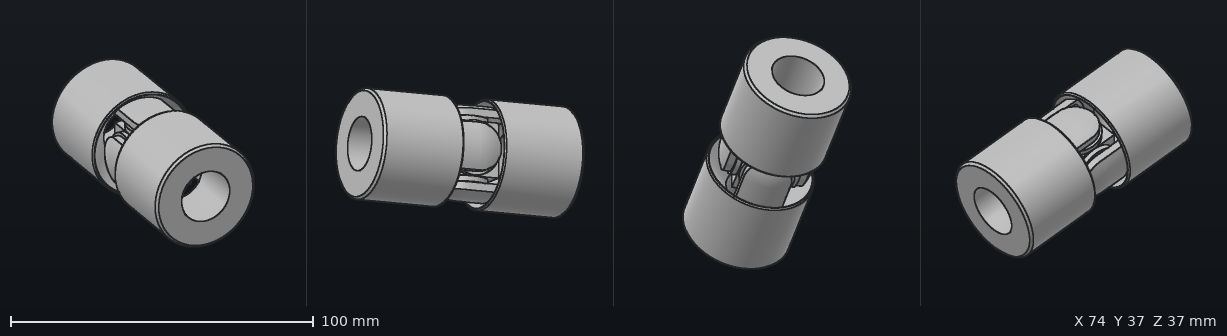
import cadquery as cq


joint_length = 74.0
hub_diameter = 37.0
bore_diameter = 18.0
hub_gap = 15.0
outer_chamfer = 0.9
inner_chamfer = 0.5
rim_width = 0.2
cup_depth = 10.15
arm_width = 16.05
arm_outer_radius = 16.0
arm_tip_offset = 0.6

block_length = 19.25
block_size = 18.5
boss_height = 1.85

hub_radius = hub_diameter / 2
hub_end = joint_length / 2
hub_start = hub_gap / 2
cup_mouth_radius = hub_radius - inner_chamfer - rim_width
cup_bottom = hub_start + cup_depth
arm_inner_height = block_size / 2 + boss_height
arm_root = (hub_start + hub_end) / 2


def x_cylinder(radius, start, end):
    """Solid cylinder on the X axis."""
    return cq.Workplane("YZ").workplane(offset=start).circle(radius).extrude(end - start)


def make_hub():
    """Hub on the -X side with a conical cup facing the joint centre."""
    hub = x_cylinder(hub_radius, -hub_end, -hub_start)
    hub = hub.faces("<X").chamfer(outer_chamfer)
    hub = hub.faces(">X").chamfer(inner_chamfer)
    cup = (
        cq.Workplane("XY")
        .moveTo(-hub_start, 0)
        .lineTo(-hub_start, cup_mouth_radius)
        .lineTo(-cup_bottom, bore_diameter / 2)
        .lineTo(-cup_bottom, 0)
        .close()
        .revolve(360, (0, 0, 0), (1, 0, 0))
    )
    return hub.cut(cup)


def make_arms():
    """Two arms on +Z and -Z with rounded ends and spherical tips."""
    half_width = arm_width / 2
    envelope = x_cylinder(arm_outer_radius, -arm_root, 0)
    envelope = envelope.union(cq.Workplane("XY").sphere(arm_outer_radius))
    outline = (
        cq.Workplane("XY")
        .workplane(offset=-arm_outer_radius)
        .moveTo(-arm_root, -half_width)
        .lineTo(arm_tip_offset, -half_width)
        .threePointArc((arm_tip_offset + half_width, 0), (arm_tip_offset, half_width))
        .lineTo(-arm_root, half_width)
        .close()
        .extrude(2 * arm_outer_radius)
    )
    opening = cq.Workplane("XY").box(2 * joint_length, hub_diameter, 2 * arm_inner_height)
    return envelope.intersect(outline).cut(opening)


def make_fork():
    """Hub and arms in one piece, bored through along X."""
    bore = x_cylinder(bore_diameter / 2, -hub_end, 0)
    return make_hub().union(make_arms()).cut(bore)


def make_cross():
    """Block with a round boss on each of the four faces the arms bear on."""
    cross = cq.Workplane("XY").box(block_length, block_size, block_size)
    for plane in ("XY", "XZ"):
        bosses = cq.Workplane(plane).circle(block_size / 2).extrude(arm_inner_height, both=True)
        cross = cross.union(bosses)
    return cross


left_fork = make_fork()
right_fork = (
    make_fork()
    .rotate((0, 0, 0), (0, 0, 1), 180)
    .rotate((0, 0, 0), (1, 0, 0), 90)
)
cross = make_cross()

result = cq.Compound.makeCompound([left_fork.val(), right_fork.val(), cross.val()])